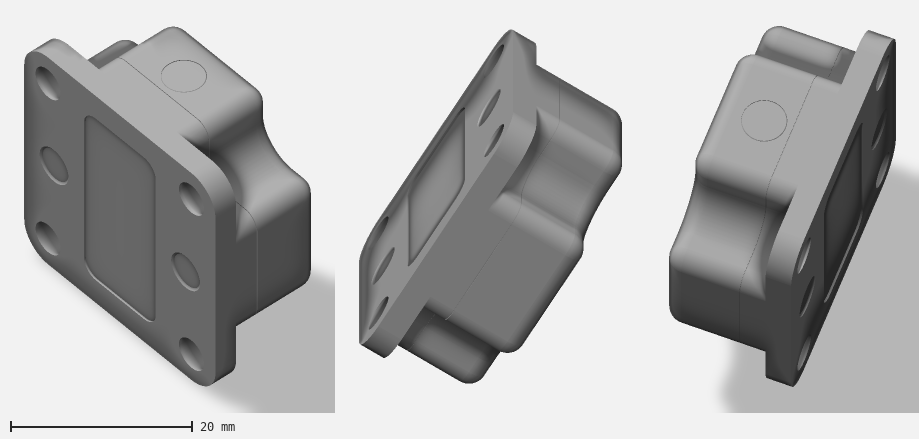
import cadquery as cq

width = 32.0
depth = 15.0

flange_thickness = 3.0
corner_radius = width / 8
hole_spacing = width - 2 * corner_radius
hole_diameter = 4.2

arm_width = width / 2
edge_radius = corner_radius / 2
back_radius = edge_radius

seam_y = 6.0
seam_width = 0.1
seam_depth = 0.1

panel_width = 12.0
panel_height = 25.0
panel_radius = edge_radius
panel_depth = 0.25

dimple_offset = 11.0
dimple_mouth_diameter = 4.83
dimple_floor_diameter = 4.3
dimple_depth = 0.22

plug_y = 9.35
plug_diameter = 4.9
plug_hole_diameter = 5.1
plug_groove_depth = 0.1


def slab(start_y, length, size_x, size_z):
    """Rectangular block centred on the Y axis, running from start_y toward +Y."""
    return cq.Workplane("XY").box(size_x, length, size_z).translate((0, start_y + length / 2, 0))


def cross_prism(start_y, length, inset=0.0):
    """Rounded cross section extruded along Y, with its walls moved inward by inset."""
    span = width - 2 * inset
    arm = arm_width - 2 * inset
    cross = slab(start_y, length, span, arm).union(slab(start_y, length, arm, span))
    outer_edges = "(>X or <X or >Z or <Z)"
    cross = cross.edges(f"|Y and (not {outer_edges})").fillet(corner_radius + inset)
    return cross.edges(f"|Y and {outer_edges}").fillet(edge_radius - inset)


def face_plane():
    """Workplane on the mounting face, with its normal pointing out toward -Y."""
    return cq.Workplane("XZ")


def make_flange():
    flange = slab(0, flange_thickness, width, width)
    return flange.edges("|Y").fillet(corner_radius)


def make_body():
    body = cross_prism(0, depth).faces(">Y").edges().fillet(back_radius)
    seam_band = slab(seam_y, seam_width, 2 * width, 2 * width)
    seam_core = cross_prism(seam_y, seam_width, seam_depth)
    return body.cut(seam_band.cut(seam_core))


def make_corner_holes():
    centres = face_plane().rect(hole_spacing, hole_spacing, forConstruction=True).vertices()
    return centres.circle(hole_diameter / 2).extrude(-depth)


def make_panel_recess():
    recess = slab(0, panel_depth, panel_width, panel_height)
    return recess.edges("|Y").fillet(panel_radius)


def make_dimple(x):
    mouth = face_plane().center(x, 0).circle(dimple_mouth_diameter / 2)
    floor = mouth.workplane(offset=-dimple_depth).circle(dimple_floor_diameter / 2)
    return floor.loft(ruled=True)


def make_plug_groove():
    top_plane = cq.Workplane("XY", origin=(0, plug_y, width / 2))
    hole = top_plane.circle(plug_hole_diameter / 2).extrude(-plug_groove_depth)
    rim = top_plane.circle(plug_diameter / 2).workplane(offset=-plug_groove_depth)
    plug = rim.circle(plug_hole_diameter / 2).loft(ruled=True)
    return hole.cut(plug)


result = make_flange().union(make_body())
result = result.cut(make_corner_holes())
result = result.cut(make_panel_recess())
for side in (-1, 1):
    result = result.cut(make_dimple(side * dimple_offset))
result = result.cut(make_plug_groove())